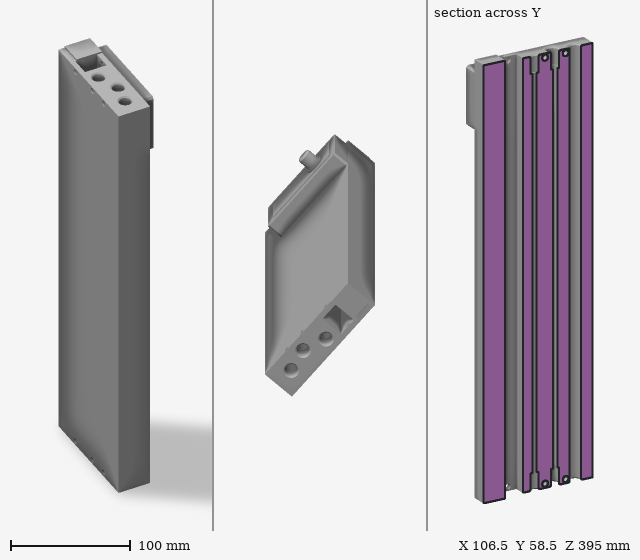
import cadquery as cq

width = 106.5
total_depth = 58.5
total_height = 395.0

block_depth = 30.0
pad_thickness = 1.5
pad_width = 21.5
pad_front = 6.0
block_bottom = pad_thickness
block_top = total_height - pad_thickness

duct_width = 17.0
duct_front = 4.7
duct_depth = 20.5

narrow_bore_centers = [(49.8, 11.5), (70.0, 19.5)]
wide_bore_center = (89.5, 15.5)
narrow_bore_diameter = 8.5
socket_diameter = 10.5
socket_depth = 15.8
mouth_diameter = 13.0
mouth_chamfer = (mouth_diameter - socket_diameter) / 2

cross_hole_xs = (30.0, 60.0, 80.0)
cross_hole_diameter = 5.0
cross_hole_inset = 4.0

cover_left = 0.5
cover_width = 85.7
cover_thickness = 14.2
cover_height = 54.5
cover_bottom = 330.2
cover_chamfer = 2.0
cover_back = block_depth + cover_thickness
plate_left = 7.0
plate_width = 71.5
plate_height = 36.7
plate_thickness = 1.0
plate_bottom = cover_bottom + (cover_height - plate_height) / 2
plate_back = cover_back + plate_thickness

connector_x = 25.0
connector_z = 354.7
connector_diameter = 12.5
connector_chamfer = 1.0
flange_diameter = 16.5
flange_thickness = 1.0
collar_diameter = 14.0
collar_thickness = 1.0
flange_back = plate_back + flange_thickness


def box(x, y, z, x_size, y_size, z_size):
    """Box given by its lowest corner and its sizes."""
    return cq.Workplane("XY").box(x_size, y_size, z_size, centered=False).translate((x, y, z))


def cylinder_along_y(x, z, y_start, y_end, diameter):
    """Cylinder parallel to Y, from y_start to y_end."""
    axis_plane = cq.Workplane("XZ", origin=(x, y_start, z))
    return axis_plane.circle(diameter / 2).extrude(y_start - y_end)


def bore_end(x, y, end_z, direction):
    """Chamfered socket entering the block at end_z; direction is +1 or -1 along Z."""
    half_profile = [
        (0, end_z),
        (mouth_diameter / 2, end_z),
        (socket_diameter / 2, end_z + direction * mouth_chamfer),
        (socket_diameter / 2, end_z + direction * socket_depth),
        (0, end_z + direction * socket_depth),
    ]
    profile = cq.Workplane("XZ").polyline(half_profile).close()
    return profile.revolve(360, (0, 0, 0), (0, 1, 0)).translate((x, y, 0))


def bore(x, y, diameter):
    """Bore along the whole block with a socket at each end."""
    hole = cq.Workplane("XY", origin=(x, y, 0)).circle(diameter / 2).extrude(total_height)
    return hole.union(bore_end(x, y, block_bottom, 1)).union(bore_end(x, y, block_top, -1))


def block():
    body = box(0, 0, block_bottom, width, block_depth, block_top - block_bottom)
    pads = box(0, pad_front, 0, pad_width, block_depth - pad_front, total_height)
    body = body.union(pads)
    body = body.cut(box(pad_width, duct_front, 0, duct_width, duct_depth, total_height))
    for x, y in narrow_bore_centers:
        body = body.cut(bore(x, y, narrow_bore_diameter))
    body = body.cut(bore(*wide_bore_center, socket_diameter))
    for x in cross_hole_xs:
        for z in (block_bottom + cross_hole_inset, block_top - cross_hole_inset):
            body = body.cut(cylinder_along_y(x, z, 0, block_depth, cross_hole_diameter))
    return body


def cover():
    lid = box(cover_left, block_depth, cover_bottom, cover_width, cover_thickness, cover_height)
    lid = lid.edges("|Y").chamfer(cover_chamfer)
    plate = box(plate_left, cover_back, plate_bottom, plate_width, plate_thickness, plate_height)
    return lid.union(plate)


def connector():
    flange = cylinder_along_y(connector_x, connector_z, plate_back, flange_back, flange_diameter)
    collar_back = flange_back + collar_thickness
    collar = cylinder_along_y(connector_x, connector_z, flange_back, collar_back, collar_diameter)
    barrel = cylinder_along_y(connector_x, connector_z, flange_back, total_depth, connector_diameter)
    barrel = barrel.faces(">Y").chamfer(connector_chamfer)
    return flange.union(collar).union(barrel)


result = block().union(cover()).union(connector())